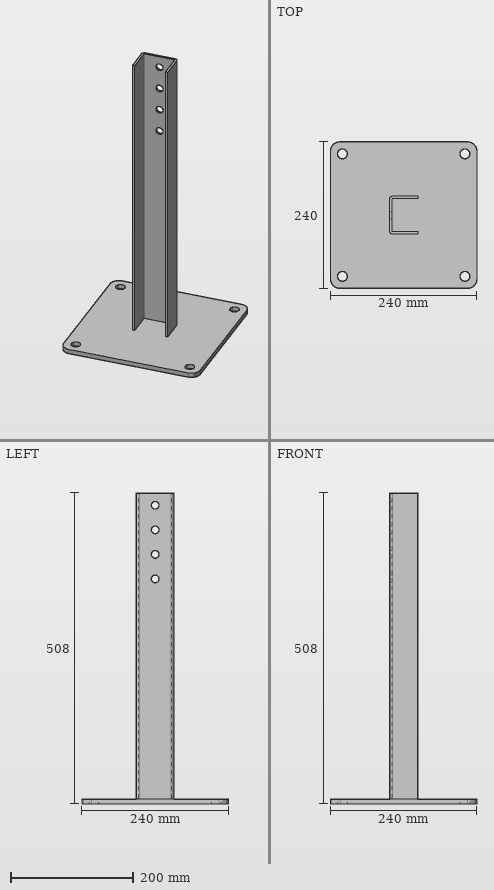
import cadquery as cq

total_height = 508.0

plate_side = 240.0
plate_thickness = 8.0
plate_corner_radius = 16.0
anchor_spacing = 200.0
anchor_diameter = 16.0

post_depth = 46.0
post_width = 62.0
post_height = total_height - plate_thickness
wall = 4.0
bend_inner_radius = 1.0
bend_outer_radius = bend_inner_radius + wall

web_hole_diameter = 12.0
web_hole_count = 4
web_hole_pitch = 40.0
top_hole_drop = 20.0


def make_base_plate():
    """Square plate with rounded corners and an anchor hole near each corner."""
    plate = (
        cq.Workplane("XY")
        .rect(plate_side, plate_side)
        .extrude(plate_thickness)
        .edges("|Z")
        .fillet(plate_corner_radius)
    )
    anchor_holes = (
        cq.Workplane("XY")
        .rect(anchor_spacing, anchor_spacing, forConstruction=True)
        .vertices()
        .circle(anchor_diameter / 2)
        .extrude(plate_thickness)
    )
    return plate.cut(anchor_holes)


def make_channel():
    """Upright bent-sheet channel: web on the -X side, flanges on the +Y and -Y sides."""
    outside = (
        cq.Workplane("XY", origin=(0, 0, plate_thickness))
        .rect(post_depth, post_width)
        .extrude(post_height)
        .edges("|Z and <X")
        .fillet(bend_outer_radius)
    )
    cavity = (
        cq.Workplane("XY", origin=(wall, 0, plate_thickness))
        .rect(post_depth, post_width - 2 * wall)
        .extrude(post_height)
        .edges("|Z and <X")
        .fillet(bend_inner_radius)
    )
    return outside.cut(cavity)


def make_web_holes():
    """Vertical row of cylinders passing through the web only."""
    top_hole_z = total_height - top_hole_drop
    centres = [(0, top_hole_z - i * web_hole_pitch) for i in range(web_hole_count)]
    return (
        cq.Workplane("YZ", origin=(-post_depth / 2, 0, 0))
        .pushPoints(centres)
        .circle(web_hole_diameter / 2)
        .extrude(wall)
    )


base_plate = make_base_plate()
post = make_channel().cut(make_web_holes())

result = cq.Compound.makeCompound([base_plate.val(), post.val()])